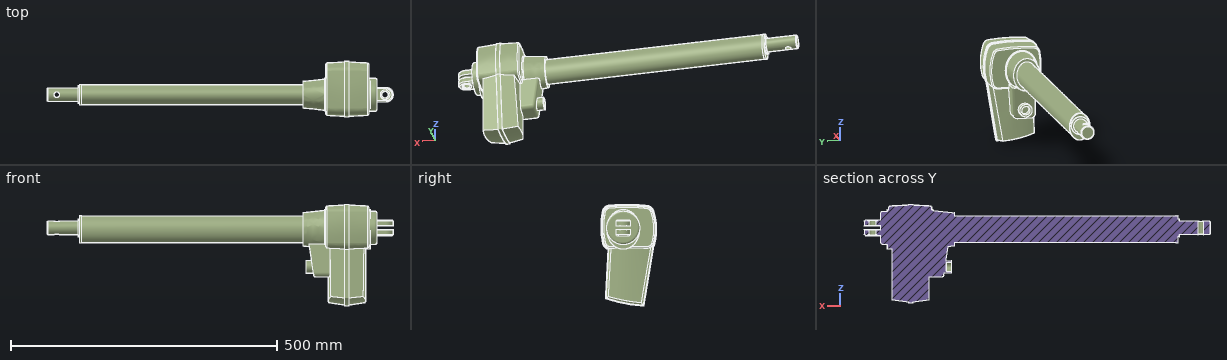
import cadquery as cq


rod_radius = 13
rod_chamfer = 1.5
rod_hole_x = 18
rod_hole_diameter = 10

tube_start = 58
tube_width = 38
tube_height = 50.4
section_z = -2.8
wiper_radius = 17
wiper_length = 2.5
cap_length = 4
cap_overhang = 0.6

neck_start = 480
neck_wall = 6.3
neck_growth = 4.5
flange_wall = 12
flange_thickness = 2.5

gearbox_start = 522.5
gearbox_end = 604
rib_x = 562.2
rib_width = 8
rib_height = 1
gearbox_taper = 3
gearbox_chamfer = 2.5
gearbox_corner_radius = 14

gearbox_top_back = (53, 40)
gearbox_crown = (8, 43.4)
gearbox_top_front = (-36, 40.5)
gearbox_front_bulge = (-41.1, 0)
gearbox_bottom_front = (-35, -40)
gearbox_bottom_back = (55, -40)
gearbox_back_bulge = (61.9, 0)

leg_top_back = (60.5, -10)
leg_bottom_back = (38, -145.75)
leg_bottom_middle = (10, -142.7)
leg_bottom_front = (-32.5, -132)
leg_top_front = (-26, -10)
leg_start = 527
leg_end = 598
leg_taper = 8.2
leg_bulge = 8.5
leg_bulge_half_width = 50
leg_bulge_centre_y = 11
leg_low_z = -146

block_top_x = 491
block_bottom_x = 500.5
block_top_z = -30
block_bottom_z = -92.5
block_top_y = (-20, 24)
block_bottom_y = (-23, 19.5)
block_reach = 30
block_front_fillet = 4.5
block_bottom_fillet = 8
socket_start = 485.5
socket_z = -73.2
socket_radius = 12
socket_bore_radius = 8
socket_bore_depth = 10

collar_radius = 31.3
collar_end = 619
collar_fillet = 4
clevis_end = 649.5
clevis_radius = 13.7
clevis_half_height = 15
clevis_gap = 7
clevis_chamfer = 2.5
clevis_hole_x = 634
clevis_hole_diameter = 12
clevis_recess_diameter = 18
clevis_recess_depth = 1.5


def section_plane(x):
    """Sketch plane across the rod at x, with local axes Y and Z."""
    return cq.Workplane("YZ", origin=(x, 0, 0))


def oval_section(x, wall):
    """Upright ellipse at x around the tube section, larger than the tube by `wall` all round."""
    half_height = tube_height / 2 + wall
    half_width = tube_width / 2 + wall
    return section_plane(x).center(0, section_z).ellipse(half_height, half_width, rotation_angle=90)


def make_rod():
    rod = section_plane(0).circle(rod_radius).extrude(gearbox_start).faces("<X").chamfer(rod_chamfer)
    hole = (
        cq.Workplane("XY")
        .center(rod_hole_x, 0)
        .circle(rod_hole_diameter / 2)
        .extrude(rod_radius, both=True)
    )
    return rod.cut(hole)


def make_tube():
    cap_start = tube_start + wiper_length
    wiper = section_plane(tube_start).circle(wiper_radius).extrude(wiper_length)
    cap = oval_section(cap_start, cap_overhang).extrude(cap_length)
    tube = oval_section(cap_start, 0).extrude(gearbox_start - cap_start)
    return tube.union(cap).union(wiper)


def make_neck():
    small_end = oval_section(neck_start, neck_wall).ctx.pendingWires[0]
    large_end = oval_section(gearbox_start, neck_wall + neck_growth).ctx.pendingWires[0]
    return cq.Workplane(cq.Solid.makeLoft([small_end, large_end], True))


def make_flanges():
    """Oval plates on both end faces of the gearbox, around the neck and the rear collar."""
    start = gearbox_start - flange_thickness
    length = gearbox_end + flange_thickness - start
    return oval_section(start, flange_wall).extrude(length)


def gearbox_outline():
    """Gearbox section on the rib plane, with its corners rounded by offsetting in and out."""
    return (
        section_plane(rib_x)
        .moveTo(*gearbox_top_back)
        .threePointArc(gearbox_crown, gearbox_top_front)
        .threePointArc(gearbox_front_bulge, gearbox_bottom_front)
        .lineTo(*gearbox_bottom_back)
        .threePointArc(gearbox_back_bulge, gearbox_top_back)
        .close()
        .offset2D(-gearbox_corner_radius)
        .offset2D(gearbox_corner_radius)
    )


def leg_outline():
    """Motor leg section on the rib plane; its top lies inside the gearbox."""
    return (
        section_plane(rib_x)
        .moveTo(*leg_top_back)
        .lineTo(*leg_bottom_back)
        .threePointArc(leg_bottom_middle, leg_bottom_front)
        .lineTo(*leg_top_front)
        .close()
    )


def mirrored_to_front(body):
    return body.mirror("YZ", (rib_x, 0, 0))


def gearbox_half(length):
    """Gearbox half running from the rib plane towards +X, narrowing to its chamfered end."""
    half = gearbox_outline().extrude(length, taper=gearbox_taper)
    return half.faces(">X").chamfer(gearbox_chamfer)


def leg_half(length):
    """Leg half running from the rib plane towards +X, narrowing to a bulged end face."""
    half = leg_outline().extrude(length, taper=leg_taper)
    edge_x = length - leg_bulge
    envelope = (
        cq.Workplane("XY", origin=(rib_x, leg_bulge_centre_y, leg_low_z))
        .moveTo(0, -leg_bulge_half_width)
        .lineTo(edge_x, -leg_bulge_half_width)
        .threePointArc((length, 0), (edge_x, leg_bulge_half_width))
        .lineTo(0, leg_bulge_half_width)
        .close()
        .extrude(-leg_low_z)
    )
    return half.intersect(envelope)


def make_rib():
    ribs = [
        outline().offset2D(rib_height).extrude(rib_width / 2, both=True)
        for outline in (gearbox_outline, leg_outline)
    ]
    return ribs[0].union(ribs[1])


def make_gearbox():
    gearbox = gearbox_half(gearbox_end - rib_x)
    gearbox = gearbox.union(mirrored_to_front(gearbox_half(rib_x - gearbox_start)))
    leg = leg_half(leg_end - rib_x)
    leg = leg.union(mirrored_to_front(leg_half(rib_x - leg_start)))
    return gearbox.union(leg).union(make_rib())


def make_connector_block():
    side = (
        cq.Workplane("XZ")
        .moveTo(block_top_x, block_top_z)
        .lineTo(block_bottom_x, block_bottom_z)
        .lineTo(rib_x, block_bottom_z)
        .lineTo(rib_x, block_top_z)
        .close()
        .extrude(block_reach, both=True)
    )
    front = (
        section_plane(block_top_x)
        .moveTo(block_top_y[0], block_top_z)
        .lineTo(block_bottom_y[0], block_bottom_z)
        .lineTo(block_bottom_y[1], block_bottom_z)
        .lineTo(block_top_y[1], block_top_z)
        .close()
        .extrude(rib_x - block_top_x)
    )
    block = side.intersect(front)
    block = block.faces("<Z").edges("<Y or >Y").fillet(block_bottom_fillet)
    return block.faces("<X").edges("not >Z").fillet(block_front_fillet)


def make_socket():
    socket = section_plane(socket_start).center(0, socket_z)
    body = socket.circle(socket_radius).extrude(gearbox_start - socket_start)
    return body, socket.circle(socket_bore_radius).extrude(socket_bore_depth)


def make_collar():
    collar = section_plane(rib_x).circle(collar_radius).extrude(collar_end - rib_x)
    return collar.faces(">X").edges().fillet(collar_fillet)


def make_clevis():
    """Two parallel lugs with a rounded end and a vertical pin hole recessed on both outer faces."""
    arc_x = clevis_end - clevis_radius
    lugs = (
        cq.Workplane("XY", origin=(0, 0, -clevis_half_height))
        .moveTo(rib_x, clevis_radius)
        .lineTo(arc_x, clevis_radius)
        .threePointArc((clevis_end, 0), (arc_x, -clevis_radius))
        .lineTo(rib_x, -clevis_radius)
        .close()
        .extrude(2 * clevis_half_height)
    )
    lugs = lugs.faces("<Z or >Z").edges().chamfer(clevis_chamfer)
    gap_length = clevis_end - collar_end
    gap = cq.Workplane("XY", origin=(collar_end + gap_length / 2, 0, 0))
    lugs = lugs.cut(gap.box(gap_length, 2 * clevis_radius, clevis_gap))
    hole = cq.Workplane("XY").center(clevis_hole_x, 0)
    lugs = lugs.cut(hole.circle(clevis_hole_diameter / 2).extrude(2 * clevis_half_height, both=True))
    recess = hole.workplane(offset=clevis_half_height - clevis_recess_depth)
    recess = recess.circle(clevis_recess_diameter / 2).extrude(clevis_half_height)
    return lugs.cut(recess).cut(recess.mirror("XY"))


socket_body, socket_bore = make_socket()
result = (
    make_gearbox()
    .union(make_tube())
    .union(make_rod())
    .union(make_neck())
    .union(make_connector_block())
    .union(socket_body)
    .union(make_flanges())
    .union(make_collar())
    .union(make_clevis())
    .cut(socket_bore)
)